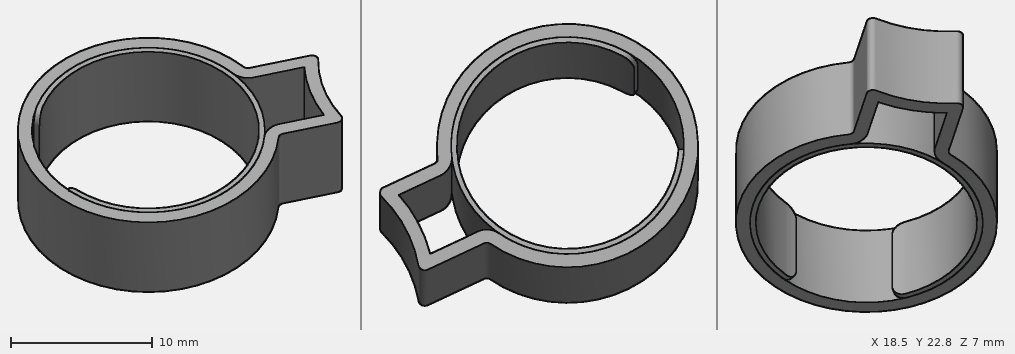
import cadquery as cq
import math

height = 7.0
overall_depth = 22.8
wall = 1.0
clamp_radius = 9.25
liner_thickness = 0.4
ear_width = 7.0
ear_offset = -0.5
bow_radius = 10.0
corner_radius = 0.45
liner_gap_half_angle = 26.4
liner_corner_radius = 1.0

bore_radius = clamp_radius - wall
liner_inner_radius = bore_radius - liner_thickness
ear_half_width = ear_width / 2
ear_tip_y = overall_depth - clamp_radius
bow_center_y = ear_tip_y - corner_radius + math.sqrt(
    (bow_radius + corner_radius) ** 2 - (ear_half_width - corner_radius) ** 2
)


def keyhole(disc_radius, half_width, end_radius, neck_radius):
    """Disc joined to a bow-ended ear, with rounded necks between them."""
    left = ear_offset - half_width
    right = ear_offset + half_width
    corner_y = bow_center_y - math.sqrt(end_radius**2 - half_width**2)
    ear = (
        cq.Workplane("XY")
        .moveTo(left, 0)
        .lineTo(right, 0)
        .lineTo(right, corner_y)
        .threePointArc((ear_offset, bow_center_y - end_radius), (left, corner_y))
        .close()
        .extrude(height)
    )
    body = cq.Workplane("XY").circle(disc_radius).extrude(height).union(ear)
    for neck_x in (left, right):
        neck_y = math.sqrt(disc_radius**2 - neck_x**2)
        neck = cq.selectors.NearestToPointSelector((neck_x, neck_y, height / 2))
        body = body.edges("|Z").edges(neck).fillet(neck_radius)
    return body


def make_clamp():
    """Band and hollow ear of constant wall thickness."""
    outside = keyhole(clamp_radius, ear_half_width, bow_radius, corner_radius)
    for side in (-1, 1):
        corner_x = ear_offset + side * ear_half_width
        corner = cq.selectors.NearestToPointSelector((corner_x, ear_tip_y, height / 2))
        outside = outside.edges("|Z").edges(corner).fillet(corner_radius)
    inside = keyhole(
        bore_radius, ear_half_width - wall, bow_radius + wall, corner_radius + wall
    )
    return outside.cut(inside)


def polar_point(radius, angle):
    """Point at an angle in degrees measured counterclockwise from -Y."""
    return (radius * math.sin(math.radians(angle)), -radius * math.cos(math.radians(angle)))


def make_liner():
    """Open ring inside the band, its free ends rounded at top and bottom."""
    start = liner_gap_half_angle
    end = 360 - liner_gap_half_angle
    strip = (
        cq.Workplane("XY")
        .moveTo(*polar_point(liner_inner_radius, start))
        .threePointArc((0, liner_inner_radius), polar_point(liner_inner_radius, end))
        .lineTo(*polar_point(bore_radius, end))
        .threePointArc((0, bore_radius), polar_point(bore_radius, start))
        .close()
        .extrude(height)
    )
    middle_radius = (liner_inner_radius + bore_radius) / 2
    for angle in (start, end):
        for z in (0, height):
            corner = cq.selectors.NearestToPointSelector((*polar_point(middle_radius, angle), z))
            strip = strip.edges("%LINE").edges(corner).fillet(liner_corner_radius)
    return strip


clamp = make_clamp()
liner = make_liner()
result = cq.Compound.makeCompound([clamp.solids().val(), liner.solids().val()])